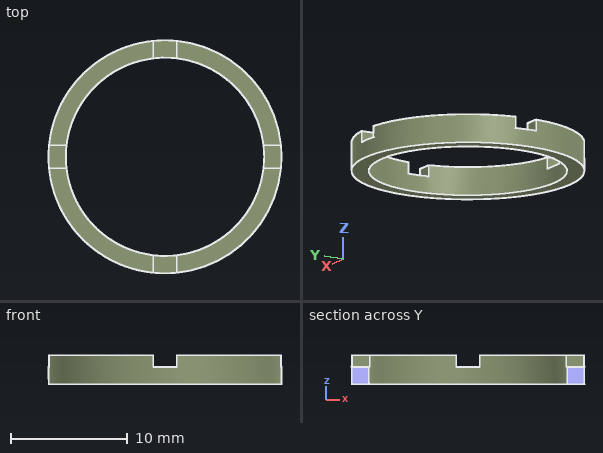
import cadquery as cq

outer_diameter = 20.0
inner_diameter = 17.0
height = 2.5

notch_width = 2.0
notch_depth = 1.0


def make_ring():
    """Plain ring standing on the XY plane."""
    return (
        cq.Workplane("XY")
        .circle(outer_diameter / 2)
        .circle(inner_diameter / 2)
        .extrude(height)
    )


def make_notch_bar(angle):
    """Bar across the full diameter that cuts two opposite notches."""
    return (
        cq.Workplane("XY")
        .workplane(offset=height - notch_depth)
        .rect(outer_diameter + notch_width, notch_width)
        .extrude(notch_depth)
        .rotate((0, 0, 0), (0, 0, 1), angle)
    )


result = make_ring()
for bar_angle in (0, 90):
    result = result.cut(make_notch_bar(bar_angle))